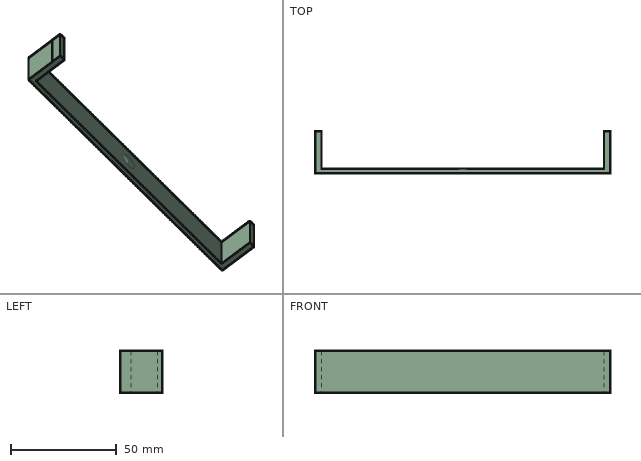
import cadquery as cq

length = 140.0
depth = 20.0
height = 20.0

web_thickness = 2.2
leg_thickness = 3.1

band_width = 5.0
band_height = 0.07

point_diameter = 8.0
point_height = 0.18

half_length = length / 2
inner_half_length = half_length - leg_thickness


def make_bracket():
    """U-shaped channel: web along the -Y side, legs toward +Y, centred on Z."""
    outline = [
        (-half_length, 0),
        (half_length - band_height, 0),
        (half_length - band_height, depth - band_width),
        (half_length, depth - band_width),
        (half_length, depth),
        (inner_half_length, depth),
        (inner_half_length, web_thickness),
        (-inner_half_length, web_thickness),
        (-inner_half_length, depth),
        (-half_length, depth),
    ]
    return cq.Workplane("XY").polyline(outline).close().extrude(height / 2, both=True)


def make_point():
    """Low cone pointing toward +Y, with its base on the inner web face."""
    cone = cq.Solid.makeCone(
        point_diameter / 2,
        0,
        point_height,
        pnt=cq.Vector(0, web_thickness, 0),
        dir=cq.Vector(0, 1, 0),
    )
    return cq.Workplane(obj=cone)


result = make_bracket().union(make_point())